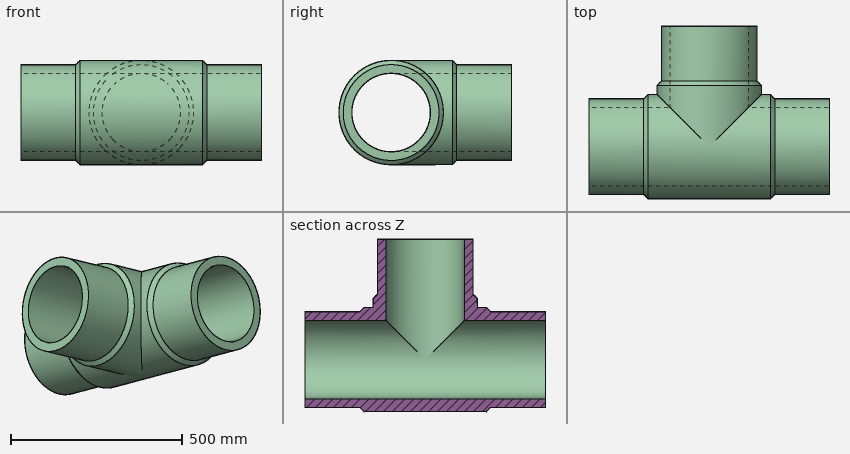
import cadquery as cq

run_length = 704.0
branch_reach = run_length / 2
pipe_diameter = 280.0
body_diameter = 305.5
bore_diameter = 229.0
spigot_length = 160.5

taper_length = (body_diameter - pipe_diameter) / 2
body_reach = branch_reach - spigot_length


def cylinder(plane, diameter, start, end):
    """Cylinder on the plane's normal axis, between two distances from the origin."""
    return cq.Workplane(plane).workplane(offset=start).circle(diameter / 2).extrude(end - start)


run_body = cylinder("YZ", body_diameter, -body_reach, body_reach).edges("%CIRCLE").chamfer(taper_length)
run_pipe = cylinder("YZ", pipe_diameter, -branch_reach, branch_reach)
run_bore = cylinder("YZ", bore_diameter, -branch_reach, branch_reach)

branch_body = cylinder("ZX", body_diameter, 0, body_reach).faces(">Y").edges().chamfer(taper_length)
branch_pipe = cylinder("ZX", pipe_diameter, 0, branch_reach)
branch_bore = cylinder("ZX", bore_diameter, 0, branch_reach)

outside = run_body.union(branch_body).union(run_pipe).union(branch_pipe)
result = outside.cut(run_bore).cut(branch_bore)